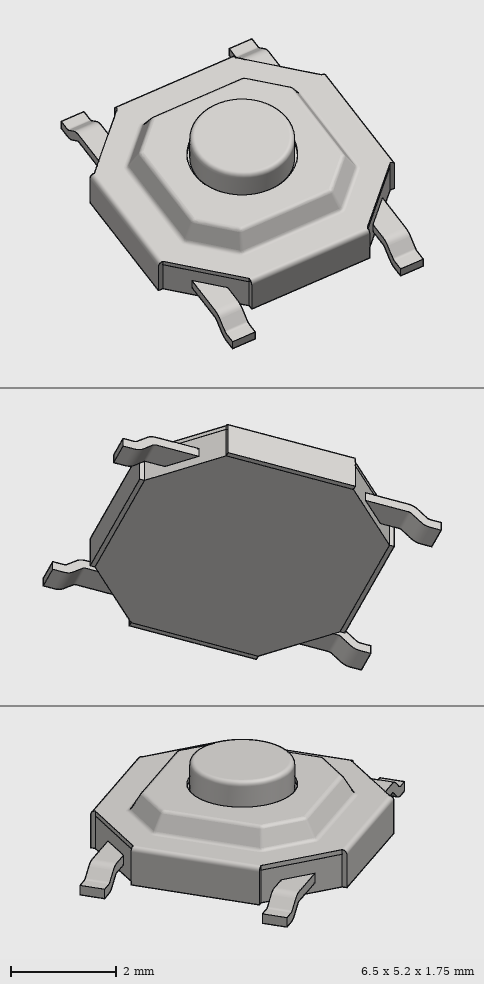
import cadquery as cq
import math


STANDOFF = 0.05
CASE_HEIGHT = 0.785
DOME_HEIGHT = 0.41
BUTTON_HEIGHT = 0.5

CASE_WIDTH = 5.2
FLAP_LENGTH = 2.6
SHEET = 0.1
DOME_ROUNDING = 0.1
DOME_TOP_WIDTH = 3.33
DOME_TOP_SIDE = 2.0
DOME_DRAFT = 30.0

BUTTON_RADIUS = 1.0
BUTTON_ROUNDING = 0.1
BUTTON_CLEARANCE = 0.05

LEAD_SPAN = 6.5
LEAD_PITCH = 3.7
LEAD_WIDTH = 0.5
LEAD_THICKNESS = 0.2
LEAD_TOP = 0.455
LEAD_INNER_X = 1.3
FOOT_LENGTH = 0.23
LEAD_BEND_RADIUS = 0.1
LEAD_BEND_ANGLE = 40.0

RIM_TOP = STANDOFF + CASE_HEIGHT
SHEET_UNDERSIDE = RIM_TOP - SHEET
DOME_TOP = RIM_TOP + DOME_HEIGHT
CORE_TOP = DOME_TOP - SHEET
BASE_WIDTH = CASE_WIDTH - 2 * SHEET
HOLE_RADIUS = BUTTON_RADIUS + BUTTON_CLEARANCE
DRAFT_SLOPE = math.tan(math.radians(DOME_DRAFT))
CORNER_SLOPE = math.tan(math.pi / 8)


def octagon_points(width, side):
    """Corners of an octagon; `side` is the length of the sides along X and Y."""
    a = width / 2
    b = side / 2
    return [(a, -b), (a, b), (b, a), (-b, a), (-a, b), (-a, -b), (-b, -a), (b, -a)]


def octagon(z, width, side):
    """Octagon outline at height z."""
    return cq.Workplane("XY", origin=(0, 0, z)).polyline(octagon_points(width, side)).close()


def drafted_octagon(z_top, inset):
    """Octagonal frustum of the dome, with its top edge drawn in by `inset` on every side."""
    spread = DOME_HEIGHT * DRAFT_SLOPE
    top_width = DOME_TOP_WIDTH - 2 * inset
    top_side = DOME_TOP_SIDE - 2 * inset * CORNER_SLOPE
    foot_points = octagon_points(top_width + 2 * spread, top_side + 2 * spread * CORNER_SLOPE)
    frustum = octagon(z_top, top_width, top_side).workplane(offset=-DOME_HEIGHT)
    return frustum.polyline(foot_points).close().loft(ruled=True)


def dome_core():
    """Space under the dome, one sheet thickness inside its outer faces."""
    return drafted_octagon(CORE_TOP, SHEET * DRAFT_SLOPE)


def make_flap():
    """Side flap on +X, folded sharply on the inside so its outer bend radius is the sheet thickness."""
    inside_x = BASE_WIDTH / 2
    outside_x = CASE_WIDTH / 2
    bend_middle = SHEET * math.sqrt(0.5)
    profile = (
        cq.Workplane("XZ", origin=(0, FLAP_LENGTH / 2, 0))
        .moveTo(inside_x, STANDOFF)
        .lineTo(outside_x, STANDOFF)
        .lineTo(outside_x, SHEET_UNDERSIDE)
        .threePointArc((inside_x + bend_middle, SHEET_UNDERSIDE + bend_middle), (inside_x, RIM_TOP))
        .close()
    )
    return profile.extrude(FLAP_LENGTH)


def make_cover():
    dome = drafted_octagon(DOME_TOP, 0).edges("not #Z").fillet(DOME_ROUNDING)
    cover = octagon(SHEET_UNDERSIDE, BASE_WIDTH, FLAP_LENGTH).extrude(SHEET).union(dome)
    cover = cover.faces(">Z").edges().fillet(DOME_ROUNDING)
    dome_foot = cover.faces("+Z").faces("<Z").val().innerWires()
    cover = cover.newObject(dome_foot).edges().fillet(DOME_ROUNDING)

    for quarter in range(4):
        cover = cover.union(make_flap().rotate((0, 0, 0), (0, 0, 1), 90 * quarter))

    hole = cq.Workplane("XY", origin=(0, 0, SHEET_UNDERSIDE)).circle(HOLE_RADIUS)
    return cover.cut(dome_core()).cut(hole.extrude(DOME_TOP - SHEET_UNDERSIDE))


def make_lead():
    """Gull-wing lead on +X and +Y, drawn as an XZ profile from the buried end out to the foot."""
    angle = math.radians(LEAD_BEND_ANGLE)
    inner = LEAD_BEND_RADIUS
    outer = inner + LEAD_THICKNESS
    drop = LEAD_TOP - LEAD_THICKNESS
    leg_drop = drop - (inner + outer) * (1 - math.cos(angle))
    run = (inner + outer) * math.sin(angle) + leg_drop / math.tan(angle)

    tip_x = LEAD_SPAN / 2
    foot_x = tip_x - FOOT_LENGTH
    shoulder_x = foot_x - run
    shoulder_z = LEAD_TOP - outer
    ankle_z = outer

    def on_shoulder(radius, turn):
        return shoulder_x + radius * math.sin(turn), shoulder_z + radius * math.cos(turn)

    def on_ankle(radius, turn):
        return foot_x - radius * math.sin(turn), ankle_z - radius * math.cos(turn)

    profile = (
        cq.Workplane("XZ", origin=(0, (LEAD_PITCH + LEAD_WIDTH) / 2, 0))
        .moveTo(LEAD_INNER_X, LEAD_TOP)
        .lineTo(*on_shoulder(outer, 0))
        .threePointArc(on_shoulder(outer, angle / 2), on_shoulder(outer, angle))
        .lineTo(*on_ankle(inner, angle))
        .threePointArc(on_ankle(inner, angle / 2), on_ankle(inner, 0))
        .lineTo(tip_x, LEAD_THICKNESS)
        .lineTo(tip_x, 0)
        .lineTo(*on_ankle(outer, 0))
        .threePointArc(on_ankle(outer, angle / 2), on_ankle(outer, angle))
        .lineTo(*on_shoulder(inner, angle))
        .threePointArc(on_shoulder(inner, angle / 2), on_shoulder(inner, 0))
        .lineTo(LEAD_INNER_X, LEAD_TOP - LEAD_THICKNESS)
        .close()
    )
    return profile.extrude(LEAD_WIDTH)


def make_base():
    base = octagon(STANDOFF, BASE_WIDTH, FLAP_LENGTH).extrude(SHEET_UNDERSIDE - STANDOFF)
    base = base.union(dome_core())

    right_leads = make_lead().union(make_lead().mirror("XZ"))
    return base.union(right_leads).union(right_leads.mirror("YZ"))


def make_button():
    """Round button standing on the base inside the hole of the cover."""
    button = cq.Workplane("XY", origin=(0, 0, CORE_TOP)).circle(BUTTON_RADIUS)
    return button.extrude(SHEET + BUTTON_HEIGHT).faces(">Z").edges().fillet(BUTTON_ROUNDING)


base = make_base().solids()
cover = make_cover().solids()
button = make_button().solids()

result = cq.Compound.makeCompound([base.val(), cover.val(), button.val()])